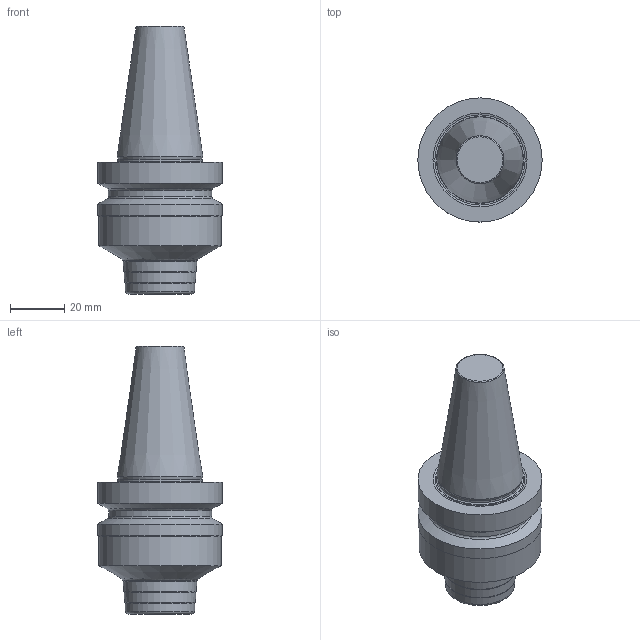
import cadquery as cq
import math


gauge_diameter = 31.75
taper_length = 48.4
taper_ratio = 7 / 24
taper_tip_fillet = 0.4

neck_radius = 15.6
neck_lead_in = 0.9
undercut_depth = 0.2
undercut_floor_radius = 16.7
undercut_outer_radius = 17.4
undercut_fillet = 0.5

flange_top = -2.0
flange_radius = 23.0
flange_height = 20.0
groove_center_below_top = 11.65
groove_mouth = 7.7
groove_depth = 3.9
groove_flank_angle = 30.0
groove_fillet = 1.0

body_radius = 22.6
body_height = 10.9
flange_bevel_height = 0.2
shoulder_angle = 30.0
shoulder_fillet = 0.8

overall_height = 99.2
ring_count = 3
ring_pitch = 4.0
ring_step_height = 0.3
ring_step = 0.15
ring_taper_angle = 2.7
nose_end_height = 0.3
nose_root_radius = 13.75
nose_end_fillet = 1.0

gauge_radius = gauge_diameter / 2
taper_tip_radius = gauge_radius - taper_length * taper_ratio / 2
undercut_floor = flange_top - undercut_depth
flange_bottom = flange_top - flange_height
groove_center = flange_top - groove_center_below_top
groove_root_radius = flange_radius - groove_depth
groove_half_mouth = groove_mouth / 2
groove_half_root = groove_half_mouth - groove_depth * math.tan(math.radians(groove_flank_angle))
body_bottom = flange_bottom - body_height
shoulder_run = body_radius - nose_root_radius
shoulder_root = body_bottom - shoulder_run * math.tan(math.radians(shoulder_angle))
nose_end = taper_length - overall_height
nose_root = nose_end + nose_end_height + ring_count * ring_pitch
ring_slope = math.tan(math.radians(ring_taper_angle))
ring_narrowing = (ring_pitch - ring_step_height) * ring_slope
nose_end_radius = (
    nose_root_radius
    - ring_count * (ring_step + ring_narrowing)
    - nose_end_height * ring_slope
)


def taper_points():
    """Taper from its tip down to the gauge circle."""
    return [(0, taper_length), (taper_tip_radius, taper_length), (gauge_radius, 0)]


def neck_points():
    """Relief neck and the shallow undercut in the flange face."""
    return [
        (neck_radius, -neck_lead_in),
        (neck_radius, undercut_floor),
        (undercut_floor_radius, undercut_floor),
        (undercut_outer_radius, flange_top),
    ]


def flange_points():
    """Flange rim with its V-groove, down to the bevel at its lower edge."""
    return [
        (flange_radius, flange_top),
        (flange_radius, groove_center + groove_half_mouth),
        (groove_root_radius, groove_center + groove_half_root),
        (groove_root_radius, groove_center - groove_half_root),
        (flange_radius, groove_center - groove_half_mouth),
        (flange_radius, flange_bottom + flange_bevel_height),
    ]


def body_points():
    """Cylindrical body and the shoulder cone below it."""
    return [
        (body_radius, flange_bottom),
        (body_radius, body_bottom),
        (nose_root_radius, shoulder_root),
    ]


def nose_points():
    """Stepped nose: each ring is a small step cone followed by a slow taper."""
    points = []
    for ring in range(ring_count):
        ring_top = nose_root - ring * ring_pitch
        step_radius = nose_root_radius - (ring + 1) * ring_step - ring * ring_narrowing
        points.append((step_radius + ring_step, ring_top))
        points.append((step_radius, ring_top - ring_step_height))
    return points + [(nose_end_radius, nose_end), (0, nose_end)]


def revolve_profile():
    """Turn the half profile (radius, Z) about the Z axis."""
    points = taper_points() + neck_points() + flange_points() + body_points() + nose_points()
    return cq.Workplane("XZ").polyline(points).close().revolve(360, (0, 0, 0), (0, 1, 0))


def fillet_circle(part, height, circle_radius, fillet_radius):
    """Round the circular edge with the given height and radius."""
    tolerance = 1e-4

    def is_wanted(edge):
        if edge.geomType() != "CIRCLE":
            return False
        same_height = abs(edge.Center().z - height) < tolerance
        return same_height and abs(edge.radius() - circle_radius) < tolerance

    return part.edges().filter(is_wanted).fillet(fillet_radius)


holder = revolve_profile()
holder = fillet_circle(holder, taper_length, taper_tip_radius, taper_tip_fillet)
holder = fillet_circle(holder, undercut_floor, neck_radius, undercut_fillet)
for side in (1, -1):
    holder = fillet_circle(
        holder, groove_center + side * groove_half_root, groove_root_radius, groove_fillet
    )
holder = fillet_circle(holder, shoulder_root, nose_root_radius, shoulder_fillet)
holder = fillet_circle(holder, nose_end, nose_end_radius, nose_end_fillet)
result = holder